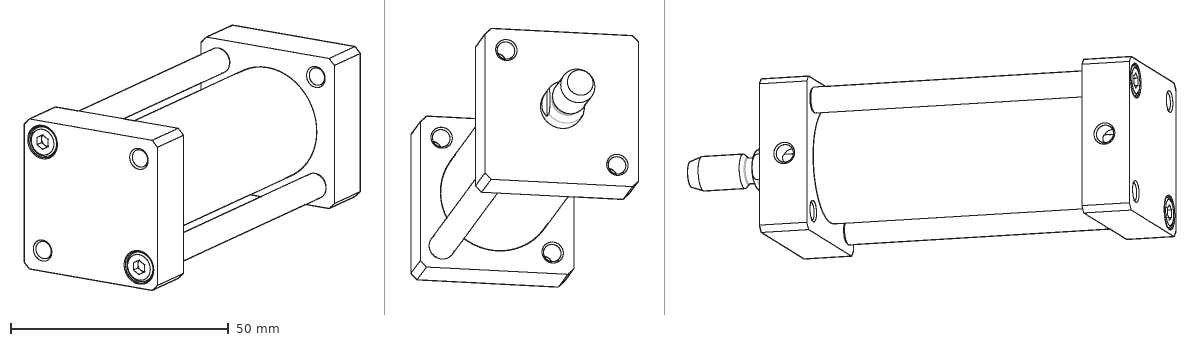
import cadquery as cq
import math

overall_length = 111.0
cap_side = 36.0
cap_thickness = 11.4
cap_corner_chamfer = 1.4
rod_extension = 22.0

rear_face = -overall_length / 2
rear_cap_inner = rear_face + cap_thickness
front_face = overall_length / 2 - rod_extension
front_cap_inner = front_face - cap_thickness

corner_offset = 13.0
tie_rod_corners = [(-corner_offset, corner_offset), (corner_offset, -corner_offset)]
mounting_corners = [(corner_offset, corner_offset), (-corner_offset, -corner_offset)]
hole_diameter = 4.1
hole_chamfer = 0.4

barrel_outer_diameter = 26.6
barrel_inner_diameter = 25.0
barrel_end_chamfer = 0.1

tie_rod_diameter = 6.0
tie_head_diameter = 7.0
tie_head_length = 4.0
tie_head_chamfer = 0.4
tie_seat_diameter = 7.5
tie_seat_chamfer = 0.2
tie_shank_diameter = 4.9
tie_shoulder_chamfer = 0.3
tie_spigot_length = 6.0
socket_across_flats = 3.0
socket_depth = 2.0

drill_point_angle = 118.0

port_inset = 5.4
port_depth = 6.0
port_bar_diameter = 2.0
port_bar_embedment = 0.3

rod_diameter = 10.0
rod_tip_diameter = 6.0
rod_stud_diameter = 8.0
rod_neck_diameter = 6.0
rod_tip_length = 2.9
stud_shoulder_length = 12.8
collar_start_length = 15.8
collar_fillet = 1.4
neck_fillet = 0.3
wrench_flat_end_length = 19.5


def cylinder_y(diameter, start, end, x=0.0, z=0.0):
    """Cylinder parallel to Y between two Y positions."""
    axis = cq.Vector(0, 1, 0)
    return cq.Workplane(cq.Solid.makeCylinder(diameter / 2, end - start, cq.Vector(x, start, z), axis))


def cone_tool(large_diameter, small_diameter, length, base, direction):
    """Cone or truncated cone that narrows from its base along a direction."""
    base_point = cq.Vector(*base)
    axis = cq.Vector(*direction)
    return cq.Workplane(cq.Solid.makeCone(large_diameter / 2, small_diameter / 2, length, base_point, axis))


def drill_point_length(diameter):
    """Length of the cone left by a drill of the given diameter."""
    return diameter / 2 / math.tan(math.radians(drill_point_angle / 2))


def cut_mounting_holes(cap, start, end):
    """Through holes with a small chamfer at both ends."""
    mouth_diameter = hole_diameter + 2 * hole_chamfer
    for x, z in mounting_corners:
        cap = cap.cut(cylinder_y(hole_diameter, start, end, x, z))
        cap = cap.cut(cone_tool(mouth_diameter, hole_diameter, hole_chamfer, (x, start, z), (0, 1, 0)))
        cap = cap.cut(cone_tool(mouth_diameter, hole_diameter, hole_chamfer, (x, end, z), (0, -1, 0)))
    return cap


def add_air_port(cap, port_y):
    """Blind drilled port in the -X side, crossed by a round bar along Y where its drill point begins."""
    side_x = -cap_side / 2
    bore_end_x = side_x + port_depth
    bore_radius = hole_diameter / 2
    mouth_radius = bore_radius + hole_chamfer
    port = (
        cq.Workplane("XZ", origin=(0, port_y, 0))
        .polyline(
            [
                (side_x, 0),
                (side_x, mouth_radius),
                (side_x + hole_chamfer, bore_radius),
                (bore_end_x, bore_radius),
                (bore_end_x + drill_point_length(hole_diameter), 0),
            ]
        )
        .close()
        .revolve(360, (0, 0, 0), (1, 0, 0))
    )
    bar_reach = bore_radius + port_bar_embedment
    bar_x = bore_end_x + port_bar_embedment
    bar = cylinder_y(port_bar_diameter, port_y - bar_reach, port_y + bar_reach, bar_x)
    return cap.cut(port).union(bar)


def make_cap_block(start):
    """Square cap with chamfered corners, spanning its thickness from a Y position."""
    return (
        cq.Workplane("XY")
        .box(cap_side, cap_thickness, cap_side)
        .edges("|Y")
        .chamfer(cap_corner_chamfer)
        .translate((0, start + cap_thickness / 2, 0))
    )


def make_rear_cap():
    """Rear cap with stepped seats for the tie rod heads."""
    cap = make_cap_block(rear_face)
    cap = cut_mounting_holes(cap, rear_face, rear_cap_inner)
    mouth_diameter = tie_seat_diameter + 2 * tie_seat_chamfer
    for x, z in tie_rod_corners:
        cap = cap.cut(cylinder_y(tie_shank_diameter, rear_face, rear_cap_inner, x, z))
        cap = cap.cut(cylinder_y(tie_seat_diameter, rear_face, rear_face + tie_head_length, x, z))
        mouth = cone_tool(mouth_diameter, tie_seat_diameter, tie_seat_chamfer, (x, rear_face, z), (0, 1, 0))
        cap = cap.cut(mouth)
    return add_air_port(cap, rear_cap_inner - port_inset)


def make_front_cap():
    """Front cap with blind tie rod holes and a bore for the piston rod."""
    cap = make_cap_block(front_cap_inner)
    cap = cut_mounting_holes(cap, front_cap_inner, front_face)
    for x, z in tie_rod_corners:
        spigot_end = front_cap_inner + tie_spigot_length
        cap = cap.cut(cylinder_y(tie_shank_diameter, front_cap_inner, spigot_end, x, z))
    cap = cap.cut(cylinder_y(rod_diameter, front_cap_inner, front_face))
    return add_air_port(cap, front_cap_inner + port_inset)


def make_barrel():
    """Thin tube between the caps."""
    outer = cylinder_y(barrel_outer_diameter, rear_cap_inner, front_cap_inner)
    outer = outer.faces("<Y or >Y").chamfer(barrel_end_chamfer)
    return outer.cut(cylinder_y(barrel_inner_diameter, rear_cap_inner, front_cap_inner))


def make_tie_rod(x, z):
    """Tie rod with a flush head in the rear cap and a plain end in the front cap."""
    head = cylinder_y(tie_head_diameter, rear_face, rear_face + tie_head_length, x, z)
    head = head.faces("<Y").chamfer(tie_head_chamfer)
    shank_end = front_cap_inner + tie_spigot_length
    shank = cylinder_y(tie_shank_diameter, rear_face + tie_head_length, shank_end, x, z)
    body = cylinder_y(tie_rod_diameter, rear_cap_inner, front_cap_inner, x, z)
    body = body.faces("<Y or >Y").chamfer(tie_shoulder_chamfer)
    rod = head.union(shank).union(body)
    across_corners = socket_across_flats / math.cos(math.radians(30))
    socket = (
        cq.Workplane("XZ", origin=(x, rear_face, z))
        .transformed(rotate=(0, 0, 90))
        .polygon(6, across_corners)
        .extrude(-socket_depth)
    )
    point_length = drill_point_length(socket_across_flats)
    point = cone_tool(socket_across_flats, 0, point_length, (x, rear_face + socket_depth, z), (0, 1, 0))
    return rod.cut(socket).cut(point)


def make_piston_rod():
    """Rod with a wrench collar, a necked stud and a tapered tip."""
    tip_y = overall_length / 2
    tip_end_y = tip_y - rod_tip_length
    shoulder_y = tip_y - stud_shoulder_length
    collar_y = tip_y - collar_start_length
    stud_radius = rod_stud_diameter / 2
    tip_radius = rod_tip_diameter / 2
    neck_radius = rod_neck_diameter / 2
    rod_radius = rod_diameter / 2

    shoulder_start_y = shoulder_y - (stud_radius - neck_radius)
    blend_tangent = neck_fillet * math.tan(math.radians(45 / 2))
    blend_offset = blend_tangent * math.cos(math.radians(45))

    rod = (
        cq.Workplane("XY")
        .moveTo(0, front_cap_inner)
        .lineTo(rod_radius, front_cap_inner)
        .lineTo(rod_radius, collar_y - collar_fillet)
        .radiusArc((rod_radius - collar_fillet, collar_y), -collar_fillet)
        .lineTo(neck_radius + neck_fillet, collar_y)
        .radiusArc((neck_radius, collar_y + neck_fillet), neck_fillet)
        .lineTo(neck_radius, shoulder_start_y - blend_tangent)
        .radiusArc((neck_radius + blend_offset, shoulder_start_y + blend_offset), neck_fillet)
        .lineTo(stud_radius, shoulder_y)
        .lineTo(stud_radius, tip_end_y)
        .lineTo(tip_radius, tip_y)
        .lineTo(0, tip_y)
        .close()
        .revolve(360, (0, 0, 0), (0, 1, 0))
    )

    flat_end_y = tip_y - wrench_flat_end_length
    flat_depth = rod_radius - stud_radius
    for side in (-1, 1):
        flat = (
            cq.Workplane("XY")
            .polyline(
                [
                    (side * stud_radius, collar_y),
                    (side * stud_radius, flat_end_y),
                    (side * rod_radius, flat_end_y - flat_depth),
                    (side * rod_radius, collar_y),
                ]
            )
            .close()
            .extrude(rod_radius, both=True)
        )
        rod = rod.cut(flat)
    return rod


rear_cap = make_rear_cap()
front_cap = make_front_cap()
barrel = make_barrel()
piston_rod = make_piston_rod()
tie_rods = [make_tie_rod(x, z) for x, z in tie_rod_corners]

result = cq.Compound.makeCompound(
    [rear_cap.val(), front_cap.val(), barrel.val(), piston_rod.val()] + [tie_rod.val() for tie_rod in tie_rods]
)